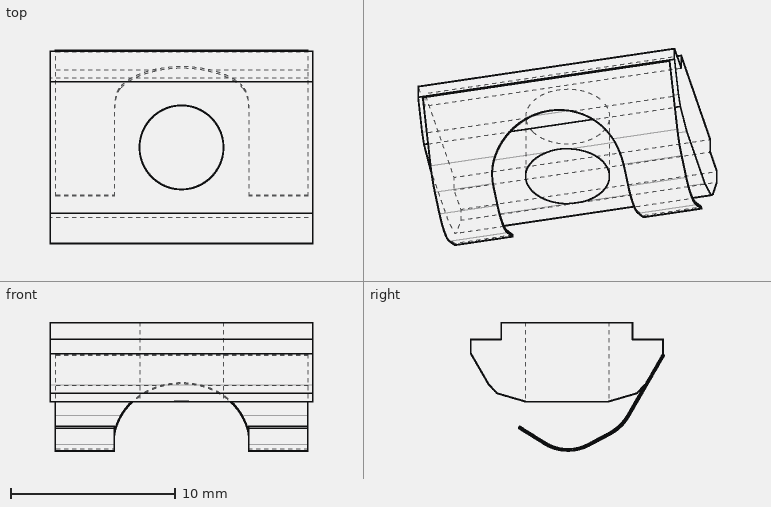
import cadquery as cq
import math

body_length = 16.0
body_half_width = 5.85
body_height = 4.82
rib_half_width = 4.0
rib_height = 1.0
flank_top = 1.87
flank_bottom = 3.76
corner_bottom = 4.3
corner_half_width = 4.24
base_half_width = 2.48
hole_diameter = 5.1
flank_angle = math.radians(60)

spring_width = 15.4
spring_thickness = 0.13
leg_outer_y = 5.92
leg_outer_z = -1.98
spring_bottom_z = -7.8
middle_angle = math.radians(28)
tip_angle = math.radians(32)
knee_radius = 2.96
bottom_radius = 2.72
bottom_center_y = 0.06
tip_y = -2.95

slot_width = 8.16
slot_center_y = 2.86
slot_center_z = -7.2
slot_length = 9.6
slot_depth = 19.2


def make_body():
    flank_run = (flank_bottom - flank_top) / math.tan(flank_angle)
    half_outline = [
        (rib_half_width, 0),
        (rib_half_width, -rib_height),
        (body_half_width, -rib_height),
        (body_half_width, -flank_top),
        (body_half_width - flank_run, -flank_bottom),
        (corner_half_width, -corner_bottom),
        (base_half_width, -body_height),
    ]
    mirrored = [(-y, z) for y, z in reversed(half_outline)]
    bar = (
        cq.Workplane("YZ")
        .polyline(half_outline + mirrored)
        .close()
        .extrude(body_length / 2, both=True)
    )
    hole = cq.Workplane("XY").circle(hole_diameter / 2).extrude(-body_height)
    return bar.cut(hole)


def arc_point(center, radius, angle):
    """Point on an arc; the angle is measured from straight down towards +Y."""
    return (
        center[0] + radius * math.sin(angle),
        center[1] - radius * math.cos(angle),
    )


def make_spring():
    bottom_center = (bottom_center_y, spring_bottom_z + bottom_radius)
    middle_start = arc_point(bottom_center, bottom_radius, middle_angle)
    leg_slope = math.tan(flank_angle)
    middle_slope = math.tan(middle_angle)
    leg_at_zero = leg_outer_z - leg_slope * leg_outer_y
    middle_at_zero = middle_start[1] - middle_slope * middle_start[0]
    knee_y = (middle_at_zero - leg_at_zero) / (leg_slope - middle_slope)
    knee_z = leg_at_zero + leg_slope * knee_y
    knee_setback = knee_radius * math.tan((flank_angle - middle_angle) / 2)
    knee_center = (
        knee_y + knee_setback * math.cos(flank_angle) - knee_radius * math.sin(flank_angle),
        knee_z + knee_setback * math.sin(flank_angle) + knee_radius * math.cos(flank_angle),
    )
    knee_mid_angle = (flank_angle + middle_angle) / 2
    tip_start = arc_point(bottom_center, bottom_radius, -tip_angle)
    tip_z = tip_start[1] + (tip_start[0] - tip_y) * math.tan(tip_angle)

    def knee(offset, angle):
        return arc_point(knee_center, knee_radius - offset, angle)

    def bottom(offset, angle):
        return arc_point(bottom_center, bottom_radius - offset, angle)

    leg_inner = arc_point((leg_outer_y, leg_outer_z), -spring_thickness, flank_angle)
    tip_inner = arc_point((tip_y, tip_z), -spring_thickness, -tip_angle)
    strip = (
        cq.Workplane("YZ")
        .moveTo(leg_outer_y, leg_outer_z)
        .lineTo(*knee(0, flank_angle))
        .threePointArc(knee(0, knee_mid_angle), knee(0, middle_angle))
        .lineTo(*bottom(0, middle_angle))
        .threePointArc(bottom(0, 0), bottom(0, -tip_angle))
        .lineTo(tip_y, tip_z)
        .lineTo(*tip_inner)
        .lineTo(*bottom(spring_thickness, -tip_angle))
        .threePointArc(bottom(spring_thickness, 0), bottom(spring_thickness, middle_angle))
        .lineTo(*knee(spring_thickness, middle_angle))
        .threePointArc(knee(spring_thickness, knee_mid_angle), knee(spring_thickness, flank_angle))
        .lineTo(*leg_inner)
        .close()
        .extrude(spring_width / 2, both=True)
    )
    return strip.cut(make_slot())


def make_slot():
    leg_plane = cq.Plane(
        origin=(0, slot_center_y, slot_center_z),
        xDir=(1, 0, 0),
        normal=(0, -math.sin(flank_angle), math.cos(flank_angle)),
    )
    half_width = slot_width / 2
    return (
        cq.Workplane(leg_plane)
        .moveTo(-half_width, -slot_length)
        .lineTo(-half_width, 0)
        .threePointArc((0, half_width), (half_width, 0))
        .lineTo(half_width, -slot_length)
        .close()
        .extrude(slot_depth / 2, both=True)
    )


result = make_body().union(make_spring())